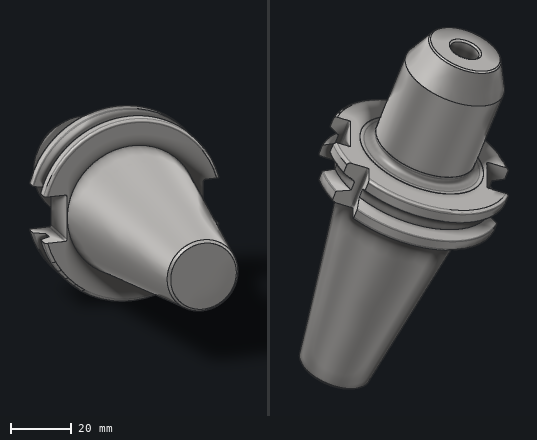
import cadquery as cq
import math

total_length = 131.4
nose_cone_length = 10.5
neck_start = 39.8
neck_fillet_start = 40.6
flange_front = 43.6
flange_back = 59.8

nose_radius = 12.7
nose_chamfer = 0.5
body_radius = 35.0 / 2
neck_radius = 34.8 / 2

pad_radius = 21.7
pad_height = 0.1
pad_face = flange_front - pad_height
fillet_radius = pad_face - neck_fillet_start

flange_radius = 63.5 / 2
rim_fillet = 1.0
groove_root_radius = 28.1
groove_lip_fillet = 0.4
groove_root_width = 3.4
groove_center = 51.8
groove_wall_angle = 60.0

taper_radius = 22.7
taper_slope = 7 / 48
end_chamfer = 0.9

slot_width = 16.2
slot_floor_front = 22.9
slot_floor_back = 25.0
slot_corner_radius = 0.7
notch_offset = 18.4

bore_radius = 10.0 / 2
bore_depth = 39.4
bore_chamfer = 0.7

match_tolerance = 0.01


def round_rim(body, stations, radius):
    """Round the circular edges of the flange rim at the given X stations."""

    def is_rim_edge(edge):
        box = edge.BoundingBox()
        on_rim = edge.geomType() == "CIRCLE" and math.isclose(
            edge.radius(), flange_radius, abs_tol=match_tolerance
        )
        return on_rim and any(
            math.isclose(box.center.x, x, abs_tol=match_tolerance) for x in stations
        )

    return body.edges().filter(is_rim_edge).fillet(radius)


def make_body():
    """Revolve the nose, neck, flange and taper about the X axis."""
    groove_depth = flange_radius - groove_root_radius
    half_root = groove_root_width / 2
    half_mouth = half_root + groove_depth / math.tan(math.radians(groove_wall_angle))
    taper_end_radius = taper_radius - taper_slope * (total_length - flange_back)
    chamfer_start_radius = taper_end_radius + taper_slope * end_chamfer
    arc_offset = fillet_radius * math.sqrt(0.5)
    fillet_top = neck_radius + fillet_radius
    profile = (
        cq.Workplane("XY")
        .lineTo(0, nose_radius - nose_chamfer)
        .lineTo(nose_chamfer, nose_radius)
        .lineTo(nose_cone_length, body_radius)
        .lineTo(neck_start, body_radius)
        .lineTo(neck_start, neck_radius)
        .lineTo(neck_fillet_start, neck_radius)
        .threePointArc(
            (neck_fillet_start + arc_offset, fillet_top - arc_offset),
            (pad_face, fillet_top),
        )
        .lineTo(pad_face, pad_radius)
        .lineTo(flange_front, pad_radius)
        .lineTo(flange_front, flange_radius)
        .lineTo(groove_center - half_mouth, flange_radius)
        .lineTo(groove_center - half_root, groove_root_radius)
        .lineTo(groove_center + half_root, groove_root_radius)
        .lineTo(groove_center + half_mouth, flange_radius)
        .lineTo(flange_back, flange_radius)
        .lineTo(flange_back, taper_radius)
        .lineTo(total_length - end_chamfer, chamfer_start_radius)
        .lineTo(total_length, chamfer_start_radius - end_chamfer)
        .lineTo(total_length, 0)
        .close()
    )
    body = profile.revolve(360, (0, 0, 0), (1, 0, 0))
    body = round_rim(body, (flange_front, flange_back), rim_fillet)
    return round_rim(body, (groove_center - half_mouth, groove_center + half_mouth), groove_lip_fillet)


def rim_block(y_min, y_max, z_min, z_max):
    """Block spanning the flange thickness, bounded in Y and Z."""
    return cq.Workplane("XY").box(
        flange_back - flange_front, y_max - y_min, z_max - z_min, centered=False
    ).translate((flange_front, y_min, z_min))


def make_slot(side, floor):
    """Drive slot cutter on the +Y (side = 1) or -Y (side = -1) rim."""
    inner, outer = sorted((side * floor, side * flange_radius))
    slot = rim_block(inner, outer, -slot_width / 2, slot_width / 2)
    floor_edges = "|X and <Y" if side > 0 else "|X and >Y"
    return slot.edges(floor_edges).fillet(slot_corner_radius)


def make_notch():
    """Square orientation notch on the +Y, -Z quarter of the rim."""
    notch = rim_block(notch_offset, flange_radius, -flange_radius, -notch_offset)
    return notch.edges("|X and <Y and >Z").fillet(slot_corner_radius)


def make_bore():
    """Blind tool bore with a chamfered mouth."""
    mouth_radius = bore_radius + bore_chamfer
    return (
        cq.Workplane("XY")
        .lineTo(0, mouth_radius)
        .lineTo(bore_chamfer, bore_radius)
        .lineTo(bore_depth, bore_radius)
        .lineTo(bore_depth, 0)
        .close()
        .revolve(360, (0, 0, 0), (1, 0, 0))
    )


result = (
    make_body()
    .cut(make_slot(-1, slot_floor_front))
    .cut(make_slot(1, slot_floor_back))
    .cut(make_notch())
    .cut(make_bore())
)